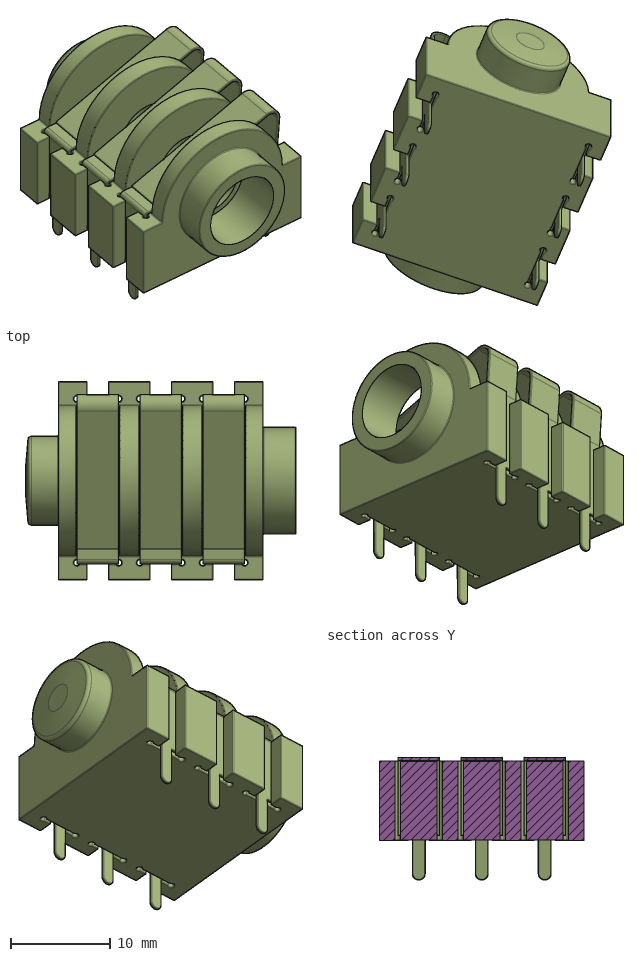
import cadquery as cq
import math


body_length = 20.7
body_width = 20.0
body_height = 8.05
rib_radius = 7.62
contact_pitch = 6.35
contact_count = 3
gap_width = 4.37

cap_length = 3.3
cap_radius = 4.5
cap_edge_radius = 0.38
cap_flat_radius = 1.5
cap_cone_height = 0.22

total_length = 27.3
bushing_length = total_length - cap_length - body_length
bushing_radius = 5.4
entry_bore_radius = 3.99
inner_bore_radius = 3.33
housing_fillet = 0.08

sheet = 0.3
contact_width = 4.23
blade_y = 8.27
blade_bottom = -7.53
pin_bottom = -12.05
pin_width = 1.3
shoulder_fillet = 0.1
contact_fillet = 0.068

notch_width = 2.15
slot_end_radius = 0.3

lean_start = 0.82
lean_angle = math.radians(4.3)
bend_radius = 1.23
bend_z = 4.55
slope_angle = math.radians(20.4)
tip_y = -6.93

rest_top = 0.38
rest_bend_radius = 0.46
rest_inner_y = -6.15

blade_outer = blade_y + sheet / 2
blade_inner = blade_y - sheet / 2
contact_places = [
    body_length / 2 + (i - (contact_count - 1) / 2) * contact_pitch for i in range(contact_count)
]


def box_between(x_range, y_range, z_range):
    """Axis-aligned box given by its low and high limits."""
    (x0, x1), (y0, y1), (z0, z1) = x_range, y_range, z_range
    return cq.Workplane("XY").box(x1 - x0, y1 - y0, z1 - z0, centered=False).translate((x0, y0, z0))


def cylinder_along_x(radius, x_start, x_end):
    return cq.Workplane("YZ", origin=(x_start, 0, 0)).circle(radius).extrude(x_end - x_start)


def make_blade_seat(x, side):
    """Slot for one blade, its end relief holes and the notch that opens it to the outside."""
    slot = box_between(
        (x - contact_width / 2, x + contact_width / 2), (blade_inner, blade_outer), (-body_height, 0)
    )
    reliefs = (
        cq.Workplane("XY", origin=(x, blade_y, -body_height))
        .pushPoints([(-contact_width / 2, 0), (contact_width / 2, 0)])
        .circle(slot_end_radius)
        .extrude(body_height)
    )
    notch = box_between(
        (x - notch_width / 2, x + notch_width / 2), (blade_y, body_width / 2), (-body_height, 0)
    )
    seat = slot.union(reliefs).union(notch)
    return seat if side > 0 else seat.mirror("XZ")


def make_block():
    """Rectangular block with blade seats, and a round-topped body above it parted into four ribs."""
    block = box_between((0, body_length), (-body_width / 2, body_width / 2), (-body_height, 0))
    ribs = cylinder_along_x(rib_radius, 0, body_length)
    for x in contact_places:
        gap = box_between(
            (x - gap_width / 2, x + gap_width / 2), (-rib_radius, rib_radius), (0, rib_radius)
        )
        ribs = ribs.cut(gap)
    body = block.union(ribs)
    for x in contact_places:
        for side in (-1, 1):
            body = body.cut(make_blade_seat(x, side))
    return body.edges().fillet(housing_fillet)


def make_cap():
    """Closed round cap with a shallow cone on its end face and a filleted root."""
    tip_x = -cap_length
    cone_x = tip_x + cap_cone_height
    profile = (
        cq.Workplane("XY")
        .moveTo(0, 0)
        .lineTo(tip_x, 0)
        .lineTo(tip_x, cap_flat_radius)
        .lineTo(cone_x, cap_radius - cap_edge_radius)
        .radiusArc((cone_x + cap_edge_radius, cap_radius), cap_edge_radius)
        .lineTo(-housing_fillet, cap_radius)
        .radiusArc((0, cap_radius + housing_fillet), -housing_fillet)
        .close()
    )
    return profile.revolve(360, (0, 0, 0), (1, 0, 0))


def make_bushing():
    """Round sleeve at the plug entry, with a filleted root and a rounded rim."""
    root_x = body_length
    end_x = body_length + bushing_length
    profile = (
        cq.Workplane("XY")
        .moveTo(root_x, 0)
        .lineTo(root_x, bushing_radius + housing_fillet)
        .radiusArc((root_x + housing_fillet, bushing_radius), -housing_fillet)
        .lineTo(end_x - housing_fillet, bushing_radius)
        .radiusArc((end_x, bushing_radius - housing_fillet), housing_fillet)
        .lineTo(end_x, 0)
        .close()
    )
    return profile.revolve(360, (0, 0, 0), (1, 0, 0))


def make_housing():
    body = make_block().union(make_cap()).union(make_bushing())
    inner_bore_start = contact_places[0] - gap_width / 2
    entry_bore_start = contact_places[-1] + gap_width / 2
    body = body.cut(cylinder_along_x(inner_bore_radius, inner_bore_start, entry_bore_start))
    return body.cut(cylinder_along_x(entry_bore_radius, entry_bore_start, body_length + bushing_length))


def make_pin(x, y):
    """Round-ended pin below a blade, with small fillets where it meets the blade."""
    half = pin_width / 2
    foot = half + shoulder_fillet
    profile = (
        cq.Workplane("XZ", origin=(x, y + sheet / 2, 0))
        .moveTo(-foot, blade_bottom)
        .radiusArc((-half, blade_bottom - shoulder_fillet), shoulder_fillet)
        .lineTo(-half, pin_bottom + half)
        .threePointArc((0, pin_bottom), (half, pin_bottom + half))
        .lineTo(half, blade_bottom - shoulder_fillet)
        .radiusArc((foot, blade_bottom), shoulder_fillet)
        .close()
    )
    return profile.extrude(sheet)


def extrude_across(profile, x):
    """Extrude a YZ profile to the contact width, centred on x."""
    return profile.extrude(contact_width / 2, both=True).translate((x, 0, 0))


def make_spring(x):
    """Contact at +Y: an upright that leans outward, bends over and slopes down to its rest at -Y."""
    inner_radius = bend_radius - sheet
    lean_top = bend_z - bend_radius * math.sin(lean_angle)
    bend_y = (
        blade_outer
        + (lean_top - lean_start) * math.tan(lean_angle)
        - bend_radius * math.cos(lean_angle)
    )

    def on_bend(radius, angle):
        return (bend_y + radius * math.cos(angle), bend_z + radius * math.sin(angle))

    start = -lean_angle
    end = math.pi / 2 + slope_angle
    middle = (start + end) / 2

    slope_start = on_bend(bend_radius, end)
    tip_z = slope_start[1] - (slope_start[0] - tip_y) * math.tan(slope_angle)
    toe_y = tip_y + (tip_z - rest_top) * math.tan(slope_angle)
    heel_start = on_bend(inner_radius, end)
    heel_y = heel_start[0] - (heel_start[1] - rest_top) / math.tan(slope_angle)

    inner_lean_start = lean_start + sheet * math.tan(lean_angle / 2)
    profile = (
        cq.Workplane("YZ")
        .moveTo(blade_inner, blade_bottom)
        .lineTo(blade_outer, blade_bottom)
        .lineTo(blade_outer, lean_start)
        .lineTo(*on_bend(bend_radius, start))
        .threePointArc(on_bend(bend_radius, middle), on_bend(bend_radius, end))
        .lineTo(tip_y, tip_z)
        .lineTo(toe_y, rest_top)
        .lineTo(heel_y, rest_top)
        .lineTo(*on_bend(inner_radius, end))
        .threePointArc(on_bend(inner_radius, middle), on_bend(inner_radius, start))
        .lineTo(blade_inner, inner_lean_start)
        .close()
    )
    spring = extrude_across(profile, x).union(make_pin(x, blade_y))
    return spring.edges().fillet(contact_fillet)


def make_rest(x):
    """Contact at -Y: an upright that bends inward into a flat strip under the tip of the spring."""
    inner_radius = rest_bend_radius - sheet
    bend_z_rest = rest_top - rest_bend_radius
    bend_y_rest = -blade_outer + rest_bend_radius
    profile = (
        cq.Workplane("YZ")
        .moveTo(-blade_inner, blade_bottom)
        .lineTo(-blade_outer, blade_bottom)
        .lineTo(-blade_outer, bend_z_rest)
        .radiusArc((bend_y_rest, rest_top), rest_bend_radius)
        .lineTo(rest_inner_y, rest_top)
        .lineTo(rest_inner_y, rest_top - sheet)
        .lineTo(bend_y_rest, rest_top - sheet)
        .radiusArc((-blade_inner, bend_z_rest), -inner_radius)
        .close()
    )
    rest = extrude_across(profile, x).union(make_pin(x, -blade_y))
    return rest.edges().fillet(contact_fillet)


housing = make_housing()
springs = [make_spring(x) for x in contact_places]
rests = [make_rest(x) for x in contact_places]

result = cq.Compound.makeCompound([housing.val(), *[s.val() for s in springs], *[r.val() for r in rests]])